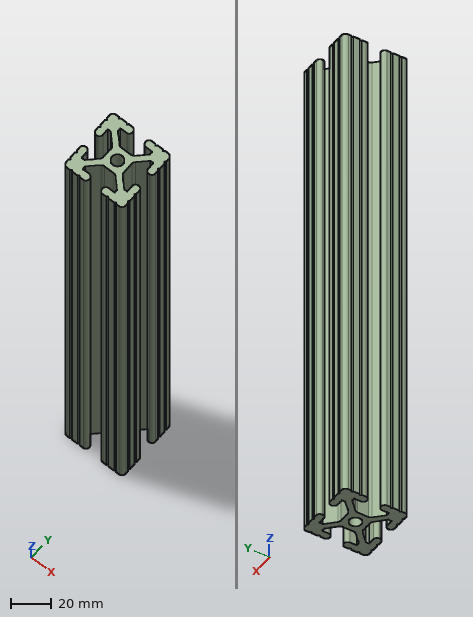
import cadquery as cq

length = 296.0
width = 38.2
half_width = width / 2
corner_radius = 2.5

slot_opening = 8.3
slot_inner_width = 20.5
lip_thickness = 4.5
lip_radius = 2.0

core_width = 13.3
web_thickness = 3.5
core_fillet_radius = 2.5
bore_diameter = 6.8

groove_offsets = (9.2, 14.2)
groove_radius = 0.5

selection_margin = 0.3

quarter_turns = (0, 90, 180, 270)


def make_slot():
    """T-slot open to the +Y face, narrowing along the webs towards the core."""
    mouth = slot_opening / 2
    inner = slot_inner_width / 2
    lip_bottom = half_width - lip_thickness
    core_face = core_width / 2
    web_shift = web_thickness / 2 ** 0.5
    web_start = inner + web_shift
    core_corner = core_face - web_shift
    slot = (
        cq.Workplane("XY")
        .moveTo(mouth, half_width)
        .lineTo(mouth, lip_bottom)
        .lineTo(inner, lip_bottom)
        .lineTo(inner, web_start)
        .lineTo(core_corner, core_face)
        .lineTo(-core_corner, core_face)
        .lineTo(-inner, web_start)
        .lineTo(-inner, lip_bottom)
        .lineTo(-mouth, lip_bottom)
        .lineTo(-mouth, half_width)
        .close()
        .extrude(length)
    )
    core_corners = cq.selectors.BoxSelector(
        (-core_face, core_face - selection_margin, 0),
        (core_face, core_face + selection_margin, length),
    )
    return slot.edges("|Z").edges(core_corners).fillet(core_fillet_radius)


def make_groove(offset):
    """Round-bottomed groove in the +Y face at the given distance from the centre."""
    return (
        cq.Workplane("XY")
        .center(offset, half_width)
        .circle(groove_radius)
        .extrude(length)
    )


def make_profile():
    """Square bar with rounded corners and a T-slot in each of its four sides."""
    profile = cq.Workplane("XY").rect(width, width).extrude(length)
    profile = profile.edges("|Z").fillet(corner_radius)
    slot = make_slot()
    for angle in quarter_turns:
        profile = profile.cut(slot.rotate((0, 0, 0), (0, 0, 1), angle))
    return profile


def round_lips(profile):
    """Round both corners of every lip where the slots open."""
    mouth = slot_opening / 2
    lip_bottom = half_width - lip_thickness
    for angle in quarter_turns:
        turned = profile.rotate((0, 0, 0), (0, 0, 1), angle)
        lip_edges = cq.selectors.BoxSelector(
            (-mouth - selection_margin, lip_bottom - selection_margin, 0),
            (mouth + selection_margin, half_width + selection_margin, length),
        )
        turned = turned.edges(lip_edges).edges("|Z").fillet(lip_radius)
        profile = turned.rotate((0, 0, 0), (0, 0, 1), -angle)
    return profile


def cut_grooves(profile):
    """Cut the grooves on both sides of every slot opening."""
    for angle in quarter_turns:
        for offset in groove_offsets:
            for side in (-1, 1):
                groove = make_groove(side * offset)
                profile = profile.cut(groove.rotate((0, 0, 0), (0, 0, 1), angle))
    return profile


bore = cq.Workplane("XY").circle(bore_diameter / 2).extrude(length)
result = cut_grooves(round_lips(make_profile())).cut(bore)